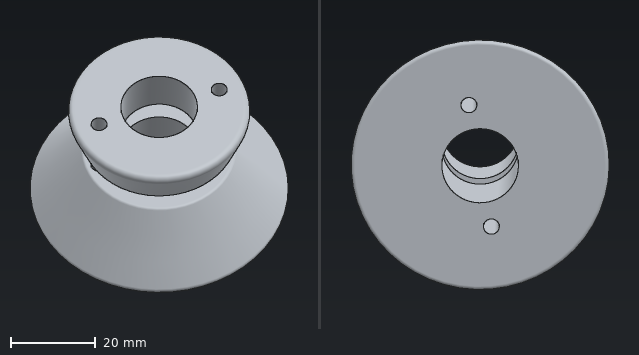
import cadquery as cq
import math

outer_diameter = 60.85
total_height = 33.0

bore_diameter = 18.0
bolt_hole_diameter = 3.7
bolt_hole_offset = 15.05
small_fillet = 1.0

base_height = 17.0
base_flank_angle = math.radians(51.6)

ring_bottom = 22.05
ring_lower_radius = 18.2
ring_upper_radius = 22.0
ring_top_fillet = 1.5


def frustum(bottom_radius, top_radius, bottom, top):
    """Solid truncated cone about the Z axis."""
    return (
        cq.Workplane("XZ")
        .moveTo(0, bottom)
        .lineTo(bottom_radius, bottom)
        .lineTo(top_radius, top)
        .lineTo(0, top)
        .close()
        .revolve(360, (0, 0), (0, 1))
    )


def bored(body, bottom):
    """Cut the central bore and the two bolt holes right through a body."""
    plane = cq.Workplane("XY").workplane(offset=bottom)
    bore = plane.circle(bore_diameter / 2).extrude(total_height)
    bolt_holes = (
        plane.pushPoints([(0, -bolt_hole_offset), (0, bolt_hole_offset)])
        .circle(bolt_hole_diameter / 2)
        .extrude(total_height)
    )
    return body.cut(bore).cut(bolt_holes).solids()


def make_base():
    """Truncated cone whose rounded bottom rim is the largest diameter."""
    rim_center_radius = outer_diameter / 2 - small_fillet
    bottom_radius = rim_center_radius + small_fillet / math.tan(base_flank_angle / 2)
    top_radius = bottom_radius - base_height / math.tan(base_flank_angle)
    cone = frustum(bottom_radius, top_radius, 0, base_height)
    cone = cone.faces("<Z or >Z").edges().fillet(small_fillet)
    return bored(cone, 0)


def make_ring():
    """Inverted truncated cone with both rims rounded."""
    cone = frustum(ring_lower_radius, ring_upper_radius, ring_bottom, total_height)
    cone = cone.faces(">Z").edges().fillet(ring_top_fillet)
    cone = cone.faces("<Z").edges().fillet(small_fillet)
    return bored(cone, ring_bottom)


base = make_base()
ring = make_ring()

result = cq.Compound.makeCompound([base.val(), ring.val()])